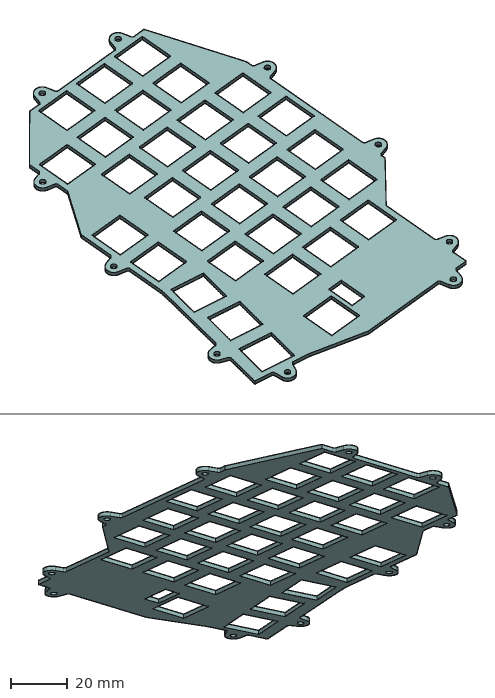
import cadquery as cq
import math

thickness = 1.6

pitch = 19.05
opening = 14.0
half_pitch = pitch / 2
stagger_step = pitch / 8

columns = [(0, 3), (0, 4), (5, 4), (6, 4), (4, 4), (3, 4), (-1, 3)]
thumb_row_y = -69.3
thumb_row_columns = [3, 4]

thumb_tilt = 10
tilted_thumb_centers = [(97.2, -70.4), (116.3, -71.5), (135.2, -74.8)]

side_key_center = (138.7, -45.7)
window_center = (134.5, -33.8)
window_width = 11.5
window_height = 6.3

left_x = -9.1
right_x = 153.4

top_y = 6 * stagger_step + half_pitch
shoulder_y = -stagger_step + half_pitch
lower_left_y = -2 * pitch - half_pitch
step_y = -3 * pitch - half_pitch
bottom_y = thumb_row_y - half_pitch

upper_left = (left_x, 10.0)
top_left = (28.0, top_y)
top_right = (96.8, top_y)
shoulder_left = (113.8, shoulder_y)
shoulder_right = (right_x, shoulder_y)
waist_upper = (right_x, -42.0)
waist_lower = (146.4, -64.8)
thumb_corner = (142.3, -88.0)
thumb_bend = (93.7, -79.8)
bottom_right = (87.0, bottom_y)
bottom_left = (47.3, bottom_y)
step_right = (pitch + half_pitch, step_y)
step_left = (pitch - half_pitch, step_y)
lower_left = (left_x, lower_left_y)
corners = [
    upper_left, top_left, top_right, shoulder_left, shoulder_right, waist_upper, waist_lower,
    thumb_corner, thumb_bend, bottom_right, bottom_left, step_right, step_left, lower_left,
]

tab_radius = 3.2
tab_hole_diameter = 2.3
tab_flare = math.radians(15)
tab_fillet = 0.9
tab_root = 0.9

tabs = [
    (lower_left, upper_left, 9.6, 3.2),
    (lower_left, upper_left, 47.8, 3.2),
    (top_left, top_right, 7.4, 3.2),
    (top_left, top_right, 62.3, 3.2),
    (shoulder_left, shoulder_right, 28.5, 2.8),
    (shoulder_right, waist_upper, 9.6, 3.2),
    (waist_lower, thumb_corner, 11.5, 3.0),
    (thumb_corner, thumb_bend, 18.9, 2.8),
    (bottom_right, bottom_left, 20.5, 3.2),
    (step_right, step_left, 9.6, 2.8),
]


def rectangle_cut(center, width, height, tilt=0):
    block = cq.Workplane("XY").rect(width, height).extrude(thickness)
    return block.rotate((0, 0, 0), (0, 0, 1), -tilt).translate((*center, 0))


def switch_cut(center, tilt=0):
    return rectangle_cut(center, opening, opening, tilt)


def switch_centers():
    centers = []
    for column, (stagger, count) in enumerate(columns):
        for row in range(count):
            centers.append((column * pitch, stagger * stagger_step - row * pitch))
    for column in thumb_row_columns:
        centers.append((column * pitch, thumb_row_y))
    return centers


def tab_body(standoff):
    """Tab on an edge along X, pointing to +Y: round tip, flared sides and filleted roots."""
    tangent_x = tab_radius * math.cos(tab_flare)
    tangent_y = standoff + tab_radius * math.sin(tab_flare)
    half_turn = (math.pi / 2 - tab_flare) / 2
    base_x = tangent_x + tangent_y * math.tan(tab_flare)
    fillet_length = tab_fillet * math.tan(half_turn)
    side_x = base_x - fillet_length * math.sin(tab_flare)
    side_y = fillet_length * math.cos(tab_flare)
    root_x = base_x + fillet_length
    middle_x = root_x - tab_fillet * math.sin(half_turn)
    middle_y = tab_fillet * (1 - math.cos(half_turn))
    return (
        cq.Workplane("XY")
        .moveTo(-root_x, -tab_root)
        .lineTo(-root_x, 0)
        .threePointArc((-middle_x, middle_y), (-side_x, side_y))
        .lineTo(-tangent_x, tangent_y)
        .threePointArc((0, standoff + tab_radius), (tangent_x, tangent_y))
        .lineTo(side_x, side_y)
        .threePointArc((middle_x, middle_y), (root_x, 0))
        .lineTo(root_x, -tab_root)
        .close()
        .extrude(thickness)
    )


def tab_hole(standoff):
    return cq.Workplane("XY").center(0, standoff).circle(tab_hole_diameter / 2).extrude(thickness)


def place_on_edge(shape, start, end, along):
    """Move a shape built on the X axis to a place on a clockwise edge, with +Y pointing outward."""
    angle = math.atan2(end[1] - start[1], end[0] - start[0])
    x = start[0] + along * math.cos(angle)
    y = start[1] + along * math.sin(angle)
    return shape.rotate((0, 0, 0), (0, 0, 1), math.degrees(angle)).translate((x, y, 0))


plate = cq.Workplane("XY").polyline(corners).close().extrude(thickness)

for start, end, along, standoff in tabs:
    plate = plate.union(place_on_edge(tab_body(standoff), start, end, along))
    plate = plate.cut(place_on_edge(tab_hole(standoff), start, end, along))

for center in switch_centers():
    plate = plate.cut(switch_cut(center))

for center in tilted_thumb_centers:
    plate = plate.cut(switch_cut(center, thumb_tilt))

plate = plate.cut(switch_cut(side_key_center))
plate = plate.cut(rectangle_cut(window_center, window_width, window_height))

result = plate